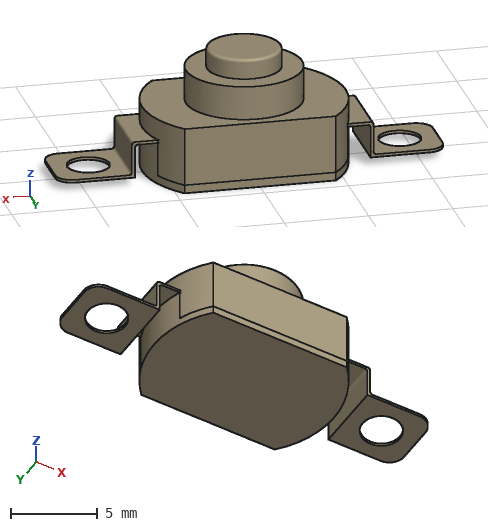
import cadquery as cq

body_diameter = 12.1
body_width = 8.1
base_thickness = 0.5
housing_top = 3.98
collar_diameter = 6.9
collar_top = 6.0

button_diameter = 4.4
button_top = 7.2
button_edge_radius = 0.18

overall_length = 23.0
terminal_width = 4.4
sheet_thickness = 0.18
shelf_top = 2.71
leg_outer_x = 7.18
bend_radius = 0.18
terminal_hole_diameter = 2.5
terminal_hole_x = 9.25
terminal_corner_radius = 1.0
slot_inner_x = 5.05

shelf_bottom = shelf_top - sheet_thickness
foot_bottom = base_thickness
foot_top = foot_bottom + sheet_thickness
leg_inner_x = leg_outer_x - sheet_thickness
terminal_end_x = overall_length / 2
slot_depth = body_diameter / 2 - slot_inner_x


def flatted_disc(bottom, top):
    """Round block with flats on its -Y and +Y sides."""
    height = top - bottom
    disc = cq.Workplane("XY").workplane(offset=bottom).circle(body_diameter / 2).extrude(height)
    flats = cq.Workplane("XY").workplane(offset=bottom).rect(body_diameter, body_width).extrude(height)
    return disc.intersect(flats)


def end_block(side, top):
    """Block over the slot at one end (side is -1 or +1), from the base plate up to top."""
    return (
        cq.Workplane("XY")
        .workplane(offset=base_thickness)
        .center(side * (slot_inner_x + slot_depth / 2), 0)
        .rect(slot_depth, terminal_width)
        .extrude(top - base_thickness)
    )


def make_housing():
    """Upper shell with its collar and an open slot at each end."""
    housing = flatted_disc(base_thickness, housing_top)
    collar = (
        cq.Workplane("XY")
        .workplane(offset=housing_top)
        .circle(collar_diameter / 2)
        .extrude(collar_top - housing_top)
    )
    housing = housing.union(collar)
    for side in (-1, 1):
        housing = housing.cut(end_block(side, shelf_top))
    return housing


def make_base():
    """Bottom plate with upright tabs that fill the slots below the terminals."""
    base = flatted_disc(0, base_thickness)
    outline = flatted_disc(base_thickness, shelf_bottom)
    for side in (-1, 1):
        base = base.union(end_block(side, shelf_bottom).intersect(outline))
    return base


def make_button():
    """Round button standing on the collar, with a rounded top edge."""
    return (
        cq.Workplane("XY")
        .workplane(offset=collar_top)
        .circle(button_diameter / 2)
        .extrude(button_top - collar_top)
        .faces(">Z")
        .edges()
        .fillet(button_edge_radius)
    )


def make_terminal(side):
    """Stepped strip: shelf in the housing slot, vertical leg, and foot with a hole."""
    profile = [
        (slot_inner_x, shelf_top),
        (leg_outer_x, shelf_top),
        (leg_outer_x, foot_top),
        (terminal_end_x, foot_top),
        (terminal_end_x, foot_bottom),
        (leg_inner_x, foot_bottom),
        (leg_inner_x, shelf_bottom),
        (slot_inner_x, shelf_bottom),
    ]
    rounded_bends = [
        (leg_outer_x, 0, shelf_top),
        (leg_inner_x, 0, shelf_bottom),
        (leg_outer_x, 0, foot_top),
    ]
    terminal = cq.Workplane("XZ").polyline(profile).close().extrude(terminal_width / 2, both=True)
    for bend in rounded_bends:
        terminal = terminal.edges(cq.selectors.NearestToPointSelector(bend)).fillet(bend_radius)
    terminal = terminal.faces(">X").edges("|Z").fillet(terminal_corner_radius)
    hole = (
        cq.Workplane("XY")
        .workplane(offset=foot_bottom)
        .center(terminal_hole_x, 0)
        .circle(terminal_hole_diameter / 2)
        .extrude(sheet_thickness)
    )
    terminal = terminal.cut(hole)
    return terminal if side > 0 else terminal.mirror("YZ")


housing = make_housing()
base = make_base()
button = make_button()
terminals = [make_terminal(side) for side in (-1, 1)]

result = cq.Compound.makeCompound(
    [housing.val(), base.val(), button.val(), *[terminal.val() for terminal in terminals]]
)